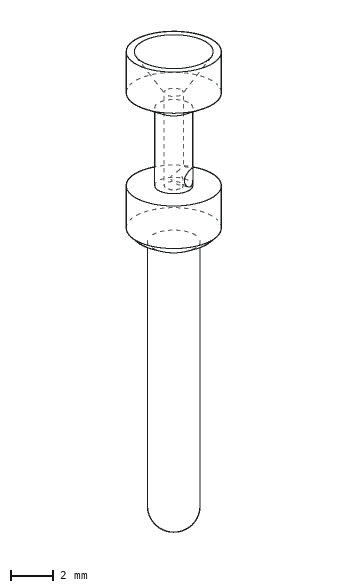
import cadquery as cq
import math

flange_diameter = 4.5
neck_diameter = 1.8
pin_diameter = 2.5
bore_diameter = 0.9
cup_mouth_diameter = 3.72

total_height = 25.0
cup_rim_bottom = 22.85
collar_top = 18.0
collar_rim_bottom = 15.78
collar_base = 15.08
cup_floor = 22.88

cup_taper_angle = 30.0
collar_bevel = 0.32

vent_diameter = bore_diameter
vent_height = collar_top + 0.6
bore_bottom = collar_top
drill_point_angle = 118.0

flange_radius = flange_diameter / 2
neck_radius = neck_diameter / 2
pin_radius = pin_diameter / 2
bore_radius = bore_diameter / 2
cup_base = cup_rim_bottom - (flange_radius - neck_radius) * math.tan(math.radians(cup_taper_angle))
drill_point_depth = bore_radius / math.tan(math.radians(drill_point_angle / 2))

tip_mid = pin_radius * math.sqrt(0.5)
body = (
    cq.Workplane("XZ")
    .moveTo(0, 0)
    .threePointArc((tip_mid, pin_radius - tip_mid), (pin_radius, pin_radius))
    .lineTo(pin_radius, collar_base)
    .lineTo(flange_radius - collar_bevel, collar_rim_bottom - collar_bevel)
    .lineTo(flange_radius, collar_rim_bottom)
    .lineTo(flange_radius, collar_top)
    .lineTo(neck_radius, collar_top)
    .lineTo(neck_radius, cup_base)
    .lineTo(flange_radius, cup_rim_bottom)
    .lineTo(flange_radius, total_height)
    .lineTo(0, total_height)
    .close()
    .revolve(360, (0, 0, 0), (0, 1, 0))
)

cavity = (
    cq.Workplane("XZ")
    .moveTo(0, bore_bottom - drill_point_depth)
    .lineTo(bore_radius, bore_bottom)
    .lineTo(bore_radius, cup_floor)
    .lineTo(cup_mouth_diameter / 2, total_height)
    .lineTo(0, total_height)
    .close()
    .revolve(360, (0, 0, 0), (0, 1, 0))
)

vent = (
    cq.Workplane("YZ")
    .center(0, vent_height)
    .circle(vent_diameter / 2)
    .extrude(neck_radius)
)

result = body.cut(cavity).cut(vent)